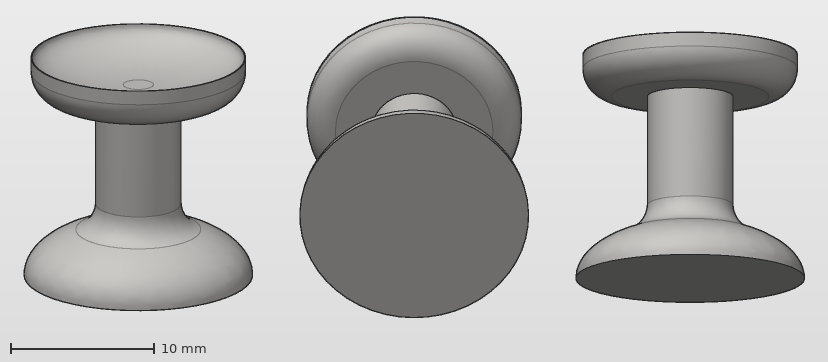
import cadquery as cq
import math

base_radius = 8.0
bell_ellipse_height = base_radius / 2
bell_top_radius = 4.37
bell_top_angle = math.acos(bell_top_radius / base_radius)
bell_height = bell_ellipse_height * math.sin(bell_top_angle)

stem_radius = 6.0 / 2
flare_top = 5.25
flare_mid_radius = 3.4
flare_mid_height = 4.11

total_height = 16.0
head_radius = 15.0 / 2
head_round = 2.0
head_thickness = 1.5 * head_round
head_bottom = total_height - head_thickness
rim_width = 0.06
dish_depth = 2.0
dish_floor_radius = 1.05

dish_radius = head_radius - rim_width
dish_floor = total_height - dish_depth

dish_wall_width = dish_radius - dish_floor_radius

round_center_radius = head_radius - head_round
round_center_height = head_bottom + head_round
round_offset = head_round * math.sqrt(0.5)
round_mid = (round_center_radius + round_offset, round_center_height - round_offset)

half_section = (
    cq.Workplane("XZ")
    .lineTo(base_radius, 0)
    .ellipseArc(base_radius, bell_ellipse_height, 0, math.degrees(bell_top_angle), sense=1)
    .threePointArc((flare_mid_radius, flare_mid_height), (stem_radius, flare_top))
    .lineTo(stem_radius, head_bottom)
    .lineTo(round_center_radius, head_bottom)
    .threePointArc(round_mid, (head_radius, round_center_height))
    .lineTo(head_radius, total_height)
    .lineTo(dish_radius, total_height)
    .ellipseArc(dish_wall_width, dish_depth, 270, 360, sense=-1)
    .lineTo(0, dish_floor)
    .close()
)

result = half_section.revolve(360, (0, 0), (0, 1))